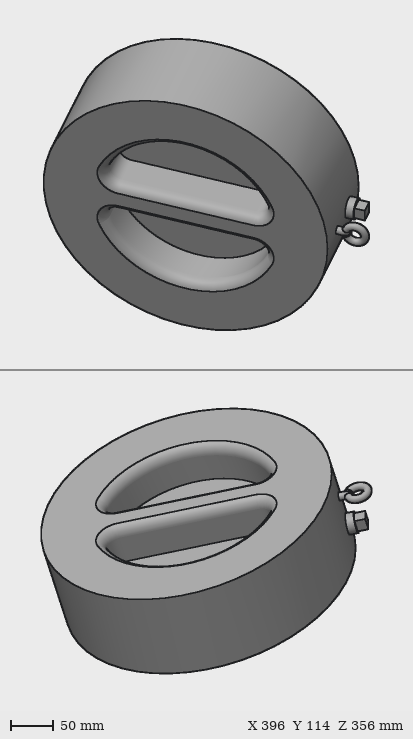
import cadquery as cq
import math

BODY_RADIUS = 178.0
BODY_WIDTH = 114.0
FRONT_Y = -BODY_WIDTH / 2

POCKET_RADIUS = 108.0
POCKET_DEPTH = 50.0
POCKET_CORNER_RADIUS = 16.0
RIB_WIDTH = 20.0
RIM_RADIUS = 15.0
RIM_WIDTH = 10.0
RIM_DEPTH = math.sqrt(RIM_RADIUS**2 - (RIM_RADIUS - RIM_WIDTH) ** 2)
POCKET_FLAT_Z = RIB_WIDTH / 2 + RIM_WIDTH
STOCK_FRONT_Y = FRONT_Y - (RIM_RADIUS - RIM_DEPTH)

SHAFT_Y = 20.0
BOSS_DIAMETER = 26.44
BOSS_HEIGHT = 10.0
SQUARE_SIZE = 16.0
SQUARE_LENGTH = 13.0

EYE_Y = -22.0
EYE_WIRE_DIAMETER = 10.0
EYE_RING_RADIUS = 12.0
EYE_PROJECTION = 23.0
EYE_CENTRE_X = BODY_RADIUS + EYE_PROJECTION
NECK_DIAMETER = 10.0
NECK_LENGTH = 6.0
NOSE_ARC_RADIUS = 20.79
NOSE_TIP_DIAMETER = 2.7
EYE_GAP_HALF_ANGLE = 19.0

SINK = 5.0


def make_disc(front_y):
    """Disc of body radius from front_y to the rear face."""
    rear_y = BODY_WIDTH / 2
    return cq.Workplane("XZ", origin=(0, front_y, 0)).circle(BODY_RADIUS).extrude(front_y - rear_y)


def cut_pocket(body, side):
    """Cut one D-shaped pocket; side is +1 above the rib and -1 below it."""
    half_chord = math.sqrt(POCKET_RADIUS**2 - POCKET_FLAT_Z**2)
    pocket = (
        cq.Workplane("XZ", origin=(0, STOCK_FRONT_Y, 0))
        .moveTo(-half_chord, side * POCKET_FLAT_Z)
        .lineTo(half_chord, side * POCKET_FLAT_Z)
        .threePointArc((0, side * POCKET_RADIUS), (-half_chord, side * POCKET_FLAT_Z))
        .close()
        .extrude(STOCK_FRONT_Y - (FRONT_Y + POCKET_DEPTH))
        .edges("|Y")
        .fillet(POCKET_CORNER_RADIUS)
    )
    return body.cut(pocket)


def round_pocket_rims(body):
    """Fillet every pocket edge in the front face."""
    front_face = body.faces("<Y").val()
    rim_edges = [edge for wire in front_face.innerWires() for edge in wire.Edges()]
    return body.newObject(rim_edges).fillet(RIM_RADIUS)


def make_body():
    """Round the pocket rims in the thicker stock, then face it off at the front plane."""
    stock = make_disc(STOCK_FRONT_Y)
    for side in (1, -1):
        stock = cut_pocket(stock, side)
    return round_pocket_rims(stock).intersect(make_disc(FRONT_Y))


def make_shaft_stub():
    """Round boss carrying the square end of the shaft."""
    boss = (
        cq.Workplane("YZ", origin=(BODY_RADIUS - SINK, SHAFT_Y, 0))
        .circle(BOSS_DIAMETER / 2)
        .extrude(SINK + BOSS_HEIGHT)
    )
    return boss.faces(">X").workplane().rect(SQUARE_SIZE, SQUARE_SIZE).extrude(SQUARE_LENGTH)


def make_eye_neck():
    """Neck turned about the eye bolt axis, with a rounded nose at its free end."""
    neck_radius = NECK_DIAMETER / 2
    tip_radius = NOSE_TIP_DIAMETER / 2
    neck_end = BODY_RADIUS + NECK_LENGTH
    arc_axis_offset = NOSE_ARC_RADIUS - neck_radius
    tip_angle = math.acos((arc_axis_offset + tip_radius) / NOSE_ARC_RADIUS)
    tip_x = neck_end + NOSE_ARC_RADIUS * math.sin(tip_angle)
    mid_arc = (
        neck_end + NOSE_ARC_RADIUS * math.sin(tip_angle / 2),
        NOSE_ARC_RADIUS * math.cos(tip_angle / 2) - arc_axis_offset,
    )
    return (
        cq.Workplane("XY", origin=(0, EYE_Y, 0))
        .moveTo(BODY_RADIUS - SINK, 0)
        .lineTo(BODY_RADIUS - SINK, neck_radius)
        .lineTo(neck_end, neck_radius)
        .threePointArc(mid_arc, (tip_x, tip_radius))
        .lineTo(tip_x, 0)
        .close()
        .revolve(360, (0, 0, 0), (1, 0, 0))
    )


def make_eye_ring():
    """Open ring in the XZ plane whose gap faces the neck."""
    return (
        cq.Workplane("XY", origin=(EYE_CENTRE_X - EYE_RING_RADIUS, EYE_Y, 0))
        .circle(EYE_WIRE_DIAMETER / 2)
        .revolve(360 - 2 * EYE_GAP_HALF_ANGLE, (EYE_RING_RADIUS, 0, 0), (EYE_RING_RADIUS, 1, 0))
        .rotate(
            (EYE_CENTRE_X, EYE_Y, 0),
            (EYE_CENTRE_X, EYE_Y + 1, 0),
            EYE_GAP_HALF_ANGLE,
        )
    )


result = make_body().union(make_shaft_stub()).union(make_eye_neck()).union(make_eye_ring())